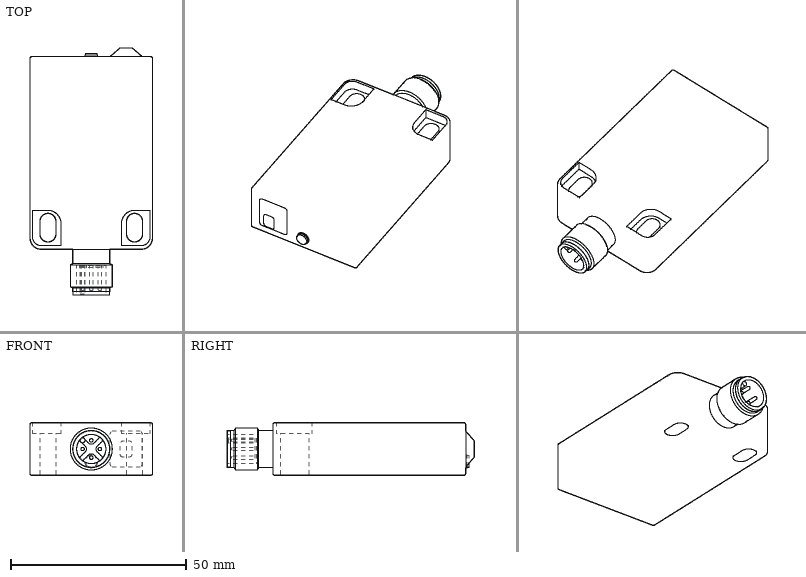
import cadquery as cq
import math

WIDTH = 35.0
LENGTH = 55.0
HEIGHT = 15.0
CORNER_RADIUS = 3.3
EDGE_RADIUS = 0.55

SLOT_X = 12.35
SLOT_Y = 6.2
SLOT_WIDTH = 4.5
SLOT_LENGTH = 8.1
POCKET_DEPTH = 3.0
POCKET_SIDE_WALL = 0.7
POCKET_FRONT_WALL = 1.05
POCKET_INNER_X = 8.6
POCKET_BACK_Y = 11.15
POCKET_INNER_RADIUS = 3.8
POCKET_OUTER_RADIUS = CORNER_RADIUS - POCKET_SIDE_WALL

CONNECTOR_LENGTH = 13.05
BARREL_DIAMETER = 10.6
LIP_DIAMETER = 10.4
LIP_LENGTH = 1.0
NUT_DIAMETER = 12.0
NUT_START = 4.0
NUT_LENGTH = 7.0
NUT_BEVEL_LENGTH = 0.35
SOCKET_DIAMETER = 8.3
SOCKET_DEPTH = 8.45

PIN_COUNT = 4
PIN_DIAMETER = 1.0
PIN_CIRCLE_RADIUS = 2.5
PIN_RECESS = 1.3
PIN_TIP_RADIUS = 0.46
CROSS_ANGLE = 45.0
CROSS_ARM_WIDTH = 1.3
CROSS_HEIGHT = 0.5
KEY_DIAMETER = 1.4
KEY_CIRCLE_DIAMETER = 7.0
KEY_RECESS = 0.35

WINDOW_X = 9.95
WINDOW_HEIGHT = 2.5
WINDOW_TOP_X = 3.45
WINDOW_TOP_Z = 4.6
WINDOW_SLOPE = 41.0
WINDOW_HIP_RADIUS = 1.5
BUTTON_Z = -3.5
BUTTON_BASE_DIAMETER = 3.7
BUTTON_BASE_HEIGHT = 0.35
BUTTON_CAP_DIAMETER = 3.4
BUTTON_HEIGHT = 0.9

EMBED = 0.7


def cylinder_along_y(diameter, y_start, y_end, x=0.0, z=0.0):
    base = cq.Workplane("XZ", origin=(x, y_end, z))
    return base.circle(diameter / 2).extrude(y_end - y_start)


def make_housing():
    block = cq.Workplane("XY").box(WIDTH, LENGTH, HEIGHT).translate((0, LENGTH / 2, 0))
    block = block.edges("|Z and <Y").fillet(CORNER_RADIUS)
    block = block.edges("|Z and >Y").fillet(EDGE_RADIUS)
    return block.faces("<Z or >Z").edges().fillet(EDGE_RADIUS)


def make_mount_cutter():
    """Pocket and through slot for the +X corner."""
    outer_x = WIDTH / 2 - POCKET_SIDE_WALL
    pocket = (
        cq.Workplane("XY", origin=(0, 0, HEIGHT / 2 - POCKET_DEPTH))
        .moveTo((POCKET_INNER_X + outer_x) / 2, (POCKET_FRONT_WALL + POCKET_BACK_Y) / 2)
        .rect(outer_x - POCKET_INNER_X, POCKET_BACK_Y - POCKET_FRONT_WALL)
        .extrude(POCKET_DEPTH)
    )
    pocket = pocket.edges("|Z and <X and >Y").fillet(POCKET_INNER_RADIUS)
    pocket = pocket.edges("|Z and >X and <Y").fillet(POCKET_OUTER_RADIUS)
    slot = (
        cq.Workplane("XY", origin=(SLOT_X, SLOT_Y, -HEIGHT / 2))
        .slot2D(SLOT_LENGTH, SLOT_WIDTH, 90)
        .extrude(HEIGHT)
    )
    return pocket.union(slot)


def make_connector_shell():
    """Turned barrel with a bevelled nut and an open socket."""
    barrel_radius = BARREL_DIAMETER / 2
    lip_radius = LIP_DIAMETER / 2
    nut_radius = NUT_DIAMETER / 2
    nut_end = NUT_START + NUT_LENGTH
    lip_start = CONNECTOR_LENGTH - LIP_LENGTH
    profile = [
        (0, EMBED),
        (barrel_radius, EMBED),
        (barrel_radius, -NUT_START),
        (nut_radius, -NUT_START - NUT_BEVEL_LENGTH),
        (nut_radius, -nut_end + NUT_BEVEL_LENGTH),
        (barrel_radius, -nut_end),
        (barrel_radius, -lip_start),
        (lip_radius, -lip_start),
        (lip_radius, -CONNECTOR_LENGTH),
        (0, -CONNECTOR_LENGTH),
    ]
    shell = cq.Workplane("XY").polyline(profile).close().revolve(360, (0, 0, 0), (0, 1, 0))
    socket = cylinder_along_y(SOCKET_DIAMETER, -CONNECTOR_LENGTH, SOCKET_DEPTH - CONNECTOR_LENGTH)
    return shell.cut(socket)


def make_pin(angle):
    x = PIN_CIRCLE_RADIUS * math.cos(angle)
    z = PIN_CIRCLE_RADIUS * math.sin(angle)
    tip_y = PIN_RECESS - CONNECTOR_LENGTH
    floor_y = SOCKET_DEPTH - CONNECTOR_LENGTH
    pin = cylinder_along_y(PIN_DIAMETER, tip_y, floor_y + EMBED, x, z)
    return pin.faces("<Y").edges().fillet(PIN_TIP_RADIUS)


def make_cross():
    """Diagonal cross on the socket floor, its inner corners rounded about the pins."""
    floor_y = SOCKET_DEPTH - CONNECTOR_LENGTH
    arm_length = (SOCKET_DIAMETER + BARREL_DIAMETER) / 2
    inner_radius = PIN_CIRCLE_RADIUS * math.sin(math.radians(CROSS_ANGLE)) - CROSS_ARM_WIDTH / 2
    plane = cq.Workplane("XZ", origin=(0, floor_y + EMBED, 0))
    thickness = CROSS_HEIGHT + EMBED
    arms = plane.rect(arm_length, CROSS_ARM_WIDTH).extrude(thickness)
    arms = arms.union(plane.rect(CROSS_ARM_WIDTH, arm_length).extrude(thickness))
    corner_box = cq.selectors.BoxSelector(
        (-CROSS_ARM_WIDTH, floor_y - thickness, -CROSS_ARM_WIDTH),
        (CROSS_ARM_WIDTH, floor_y + thickness, CROSS_ARM_WIDTH),
    )
    arms = arms.edges("|Y").edges(corner_box).fillet(inner_radius)
    return arms.rotate((0, 0, 0), (0, 1, 0), CROSS_ANGLE)


def make_key():
    angle = math.radians(CROSS_ANGLE)
    key_x = -KEY_CIRCLE_DIAMETER / 2 * math.cos(angle)
    key_z = KEY_CIRCLE_DIAMETER / 2 * math.sin(angle)
    tip_y = KEY_RECESS - CONNECTOR_LENGTH
    floor_y = SOCKET_DEPTH - CONNECTOR_LENGTH
    return cylinder_along_y(KEY_DIAMETER, tip_y, floor_y + EMBED, key_x, key_z)


def make_connector():
    connector = make_connector_shell().union(make_cross()).union(make_key())
    for index in range(PIN_COUNT):
        connector = connector.union(make_pin(index * 2 * math.pi / PIN_COUNT))
    return connector


def make_window():
    """Sloped window with rounded hips, narrowing away from the back face."""
    spread = 2 * WINDOW_HEIGHT / math.tan(math.radians(WINDOW_SLOPE))
    window = (
        cq.Workplane("XZ", origin=(WINDOW_X, LENGTH, 0))
        .rect(WINDOW_TOP_X + spread, WINDOW_TOP_Z + spread)
        .extrude(-WINDOW_HEIGHT, taper=90 - WINDOW_SLOPE)
    )
    return window.edges("not(<Y or >Y)").fillet(WINDOW_HIP_RADIUS)


def make_button():
    base = cylinder_along_y(BUTTON_BASE_DIAMETER, LENGTH - EMBED, LENGTH + BUTTON_BASE_HEIGHT, z=BUTTON_Z)
    cap = cylinder_along_y(BUTTON_CAP_DIAMETER, LENGTH - EMBED, LENGTH + BUTTON_HEIGHT, z=BUTTON_Z)
    return base.union(cap)


mount_cutter = make_mount_cutter()
result = (
    make_housing()
    .cut(mount_cutter)
    .cut(mount_cutter.mirror("YZ"))
    .union(make_connector())
    .union(make_window())
    .union(make_button())
)